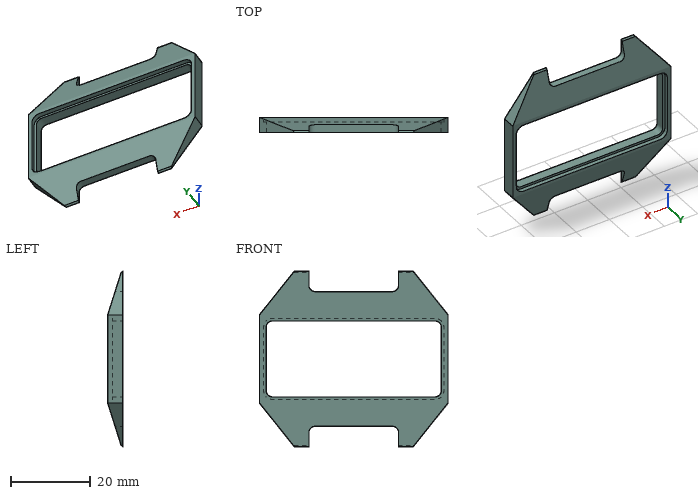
import cadquery as cq

width = 47.5
height = 44.2
thickness = 3.85

side_height = 22.25
end_width = 29.92

tip_thickness = 0.48
bevel_height = 0.4

window_width = 44.05
window_height = 19.05
notch_width = 22.5
notch_depth = 5.15
corner_radius = 1.5

recess_depth = 1.2
recess_margin = 0.65


def tapered_blank():
    """Bar with a flat front and a back that thins towards both ends."""
    half_height = height / 2
    half_side = side_height / 2
    bevel_start = half_height - bevel_height
    return (
        cq.Workplane("YZ")
        .polyline([
            (0, -half_height),
            (tip_thickness, -bevel_start),
            (thickness, -half_side),
            (thickness, half_side),
            (tip_thickness, bevel_start),
            (0, half_height),
        ])
        .close()
        .extrude(width / 2, both=True)
    )


def octagon():
    """Outline prism with four sloping corners."""
    x_side, x_end = width / 2, end_width / 2
    z_side, z_end = side_height / 2, height / 2
    return (
        cq.Workplane("XZ")
        .polyline([
            (-x_side, -z_side), (-x_end, -z_end),
            (x_end, -z_end), (x_side, -z_side),
            (x_side, z_side), (x_end, z_end),
            (-x_end, z_end), (-x_side, z_side),
        ])
        .close()
        .extrude(-thickness)
    )


def rounded_cutter(size_x, size_z, radius, front_y=0, center_z=0):
    """Rounded rectangular cutter running from front_y to the back of the frame."""
    return (
        cq.Workplane("XZ", origin=(0, front_y, center_z))
        .rect(size_x, size_z)
        .extrude(front_y - thickness)
        .edges("|Y")
        .fillet(radius)
    )


window = rounded_cutter(window_width, window_height, corner_radius)
back_recess = rounded_cutter(
    window_width + 2 * recess_margin,
    window_height + 2 * recess_margin,
    corner_radius + recess_margin,
    front_y=thickness - recess_depth,
)

result = tapered_blank().intersect(octagon()).cut(window).cut(back_recess)

for end in (-1, 1):
    notch = rounded_cutter(notch_width, 2 * notch_depth, corner_radius, center_z=end * height / 2)
    result = result.cut(notch)